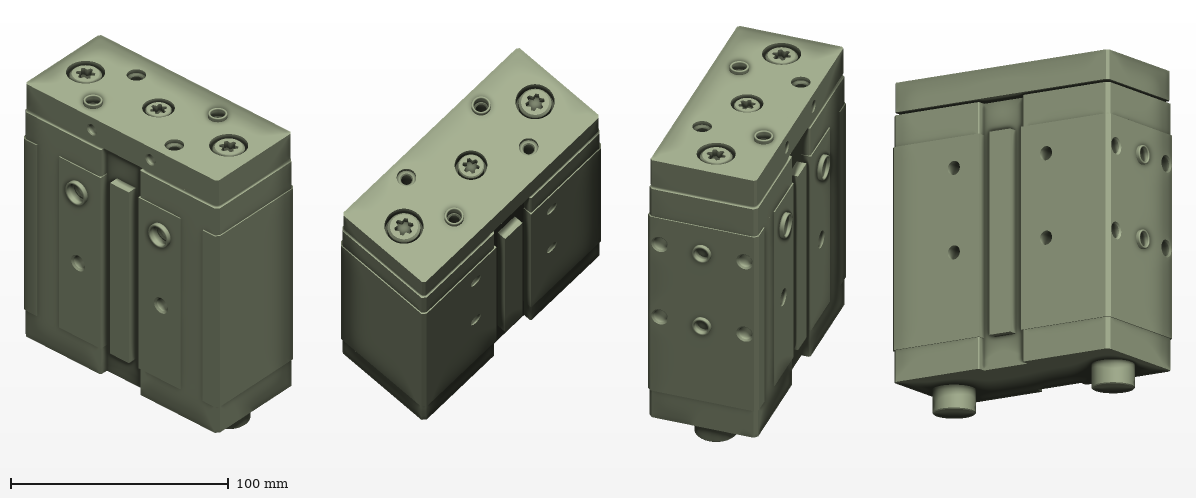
import cadquery as cq
import math


ROD_OVERHANG = 11.3
CAP_HEIGHT = 15.0
BODY_HEIGHT = 96.0
YOKE_GAP = 1.5
YOKE_HEIGHT = 14.0
BODY_BOTTOM = ROD_OVERHANG + CAP_HEIGHT
BODY_TOP = BODY_BOTTOM + BODY_HEIGHT
CAP_TOP = BODY_TOP + CAP_HEIGHT
YOKE_BOTTOM = CAP_TOP + YOKE_GAP
YOKE_TOP = YOKE_BOTTOM + YOKE_HEIGHT

BODY_WIDTH = 120.0
BODY_DEPTH = 54.0
STEP = 0.54
CAP_WIDTH = BODY_WIDTH - 2 * STEP
CAP_DEPTH = BODY_DEPTH - 2 * STEP
YOKE_WIDTH = CAP_WIDTH - 2 * STEP
YOKE_DEPTH = CAP_DEPTH - 2 * STEP
BODY_CHAMFER = 1.7
YOKE_CHAMFER = 1.1

SLOT_WIDTH = 23.0
SLOT_DEPTH = 4.8
RAIL_WIDTH = 11.5
CAP_NOTCH_WIDTH = 23.8
CAP_NOTCH_CHAMFER = 0.6
RELIEF_INNER = 37.0
RELIEF_OUTER = 50.8

GUIDE_DIAMETER = 20.0
GUIDE_X = 43.8
GUIDE_Y = -1.0
GUIDE_CHAMFER = 0.5
PISTON_ROD_DIAMETER = 12.0
SCREW_RECESS = 0.6
SCREW_POCKET_DEPTH = 6.2
SOCKET_DEPTH = 3.7
SOCKET_LOBES = 6
LOBE_HALF_ANGLE = 10
GUIDE_SCREW_POCKET = 18.0
GUIDE_SCREW_HEAD = 15.0
GUIDE_SCREW_CHAMFER = 1.1
GUIDE_SOCKET_TIP = 4.5
GUIDE_SOCKET_ROOT = 3.0
PISTON_SCREW_POCKET = 15.0
PISTON_SCREW_HEAD = 12.0
PISTON_SCREW_CHAMFER = 0.54
PISTON_SOCKET_TIP = 4.0
PISTON_SOCKET_ROOT = 2.6

SLEEVE_WALL = 1.1
SMALL_SLEEVE_DIAMETER = 9.0
SMALL_SLEEVE_LENGTH = 4.0
YOKE_SLEEVE_OUTSIDE = 2.0
SIDE_SLEEVE_OUTSIDE = 1.9
LARGE_SLEEVE_DIAMETER = 12.0
LARGE_SLEEVE_LENGTH = 5.0
FRONT_SLEEVE_OUTSIDE = 2.3
YOKE_SEAT_DEPTH = SMALL_SLEEVE_LENGTH - YOKE_SLEEVE_OUTSIDE
SIDE_SEAT_DEPTH = SMALL_SLEEVE_LENGTH - SIDE_SLEEVE_OUTSIDE
FRONT_SEAT_DEPTH = LARGE_SLEEVE_LENGTH - FRONT_SLEEVE_OUTSIDE

MOUNT_HOLE_X = 25.4
MOUNT_HOLE_DIAMETER = 6.7
MOUNT_HOLE_MOUTH = 8.5
UPPER_HOLE_Z = 107.9
HOLE_PITCH_Z = 40.0
HOLE_HEIGHTS = (UPPER_HOLE_Z, UPPER_HOLE_Z - HOLE_PITCH_Z)
SIDE_HOLE_Y = 20.7
SIDE_HOLE_DIAMETER = 6.7
SIDE_HOLE_MOUTH = 8.2
SIDE_HOLE_DEPTH = 15.5
CHANNEL_DIAMETER = 4.3
YOKE_HOLE_X = 25.0
YOKE_HOLE_BACK_Y = 12.8
YOKE_HOLE_PITCH_Y = 30.0
YOKE_HOLE_FRONT_Y = YOKE_HOLE_BACK_Y - YOKE_HOLE_PITCH_Y
YOKE_HOLE_DIAMETER = 5.0
YOKE_HOLE_MOUTH = 6.0
YOKE_FRONT_HOLE_X = 18.0
YOKE_FRONT_HOLE_DEPTH = 9.3
DRILL_HALF_ANGLE = math.radians(59)

LEFT_FACE = -BODY_WIDTH / 2
FRONT_FACE = -BODY_DEPTH / 2
X_RIGHT = (1, 0, 0)
X_LEFT = (-1, 0, 0)
Y_BACK = (0, 1, 0)
Y_FRONT = (0, -1, 0)
Z_UP = (0, 0, 1)
Z_DOWN = (0, 0, -1)


def block(width, depth, bottom, height, chamfer):
    """Upright block centred on the Z axis with chamfered vertical edges."""
    box = cq.Workplane().box(width, depth, height, centered=(True, True, False))
    return box.edges("|Z").chamfer(chamfer).translate((0, 0, bottom))


def cylinder(start, direction, diameter, length):
    solid = cq.Solid.makeCylinder(diameter / 2, length, cq.Vector(*start), cq.Vector(*direction))
    return cq.Workplane(solid)


def cone(start, direction, start_diameter, end_diameter, length):
    solid = cq.Solid.makeCone(
        start_diameter / 2, end_diameter / 2, length, cq.Vector(*start), cq.Vector(*direction)
    )
    return cq.Workplane(solid)


def drilled_hole(start, direction, diameter, mouth, depth):
    """Blind hole with a 45 degree mouth chamfer and a conical drill point."""
    point_length = diameter / 2 / math.tan(DRILL_HALF_ANGLE)
    floor = cq.Vector(*start) + cq.Vector(*direction) * depth
    hole = through_hole(start, direction, diameter, mouth, depth)
    return hole.union(cone(floor.toTuple(), direction, diameter, 0, point_length))


def through_hole(start, direction, diameter, mouth, length):
    """Round hole with a 45 degree mouth chamfer."""
    chamfer = cone(start, direction, mouth, diameter, (mouth - diameter) / 2)
    return cylinder(start, direction, diameter, length).union(chamfer)


def make_body():
    body = block(BODY_WIDTH, BODY_DEPTH, BODY_BOTTOM, BODY_HEIGHT, BODY_CHAMFER)

    for side in (-1, 1):
        floor_y = side * (BODY_DEPTH / 2 - SLOT_DEPTH / 2)
        slot = cq.Workplane().box(SLOT_WIDTH, SLOT_DEPTH, BODY_HEIGHT)
        rail = cq.Workplane().box(RAIL_WIDTH, SLOT_DEPTH, BODY_HEIGHT)
        body = body.cut(slot.cut(rail).translate((0, floor_y, BODY_BOTTOM + BODY_HEIGHT / 2)))

    for side in (-1, 1):
        relief = cq.Workplane().box(RELIEF_OUTER - RELIEF_INNER, 2 * STEP, BODY_HEIGHT)
        relief_x = side * (RELIEF_OUTER + RELIEF_INNER) / 2
        body = body.cut(relief.translate((relief_x, FRONT_FACE, BODY_BOTTOM + BODY_HEIGHT / 2)))

    for x in (-MOUNT_HOLE_X, MOUNT_HOLE_X):
        seat = (x, FRONT_FACE, UPPER_HOLE_Z)
        body = body.cut(cylinder(seat, Y_BACK, LARGE_SLEEVE_DIAMETER, FRONT_SEAT_DEPTH))
        for z, mouth_y in zip(HOLE_HEIGHTS, (FRONT_FACE + FRONT_SEAT_DEPTH, FRONT_FACE)):
            start = (x, mouth_y, z)
            body = body.cut(through_hole(start, Y_BACK, MOUNT_HOLE_DIAMETER, MOUNT_HOLE_MOUTH, BODY_DEPTH))

    for z in HOLE_HEIGHTS:
        body = body.cut(cylinder((LEFT_FACE, 0, z), X_RIGHT, SMALL_SLEEVE_DIAMETER, SIDE_SEAT_DEPTH))
        for y in (-SIDE_HOLE_Y, SIDE_HOLE_Y):
            start = (LEFT_FACE, y, z)
            body = body.cut(drilled_hole(start, X_RIGHT, SIDE_HOLE_DIAMETER, SIDE_HOLE_MOUTH, SIDE_HOLE_DEPTH))

    channel_start = (LEFT_FACE + SIDE_HOLE_DEPTH, SIDE_HOLE_Y, BODY_BOTTOM)
    body = body.cut(cylinder(channel_start, Z_UP, CHANNEL_DIAMETER, BODY_HEIGHT))
    return body.cut(guide_rods())


def make_cap(bottom):
    cap = block(CAP_WIDTH, CAP_DEPTH, bottom, CAP_HEIGHT, BODY_CHAMFER)
    face = CAP_DEPTH / 2
    floor = BODY_DEPTH / 2 - SLOT_DEPTH
    half = CAP_NOTCH_WIDTH / 2
    for side in (-1, 1):
        notch = (
            cq.Workplane()
            .moveTo(-half, side * floor)
            .lineTo(-half, side * (face - CAP_NOTCH_CHAMFER))
            .lineTo(-half - CAP_NOTCH_CHAMFER, side * face)
            .lineTo(half + CAP_NOTCH_CHAMFER, side * face)
            .lineTo(half, side * (face - CAP_NOTCH_CHAMFER))
            .lineTo(half, side * floor)
            .close()
            .extrude(CAP_HEIGHT)
        )
        cap = cap.cut(notch.translate((0, 0, bottom)))
    return cap.cut(guide_rods()).cut(piston_rod())


def guide_rods():
    """Guide rods up to the underside of the yoke, chamfered at the lower end."""
    rods = cq.Workplane().pushPoints([(-GUIDE_X, GUIDE_Y), (GUIDE_X, GUIDE_Y)])
    return rods.circle(GUIDE_DIAMETER / 2).extrude(YOKE_BOTTOM).faces("<Z").edges().chamfer(GUIDE_CHAMFER)


def piston_rod():
    """Piston rod from the yoke down to the top of the body."""
    return cylinder((0, 0, BODY_TOP), Z_UP, PISTON_ROD_DIAMETER, YOKE_BOTTOM - BODY_TOP)


def star_socket(tip_radius, root_radius, first_angle):
    """Star socket, cut downwards from the XY plane."""
    pitch = 360 / SOCKET_LOBES
    points = []
    for lobe in range(SOCKET_LOBES):
        angle = first_angle + pitch * lobe
        for offset, radius in (
            (-LOBE_HALF_ANGLE, tip_radius),
            (LOBE_HALF_ANGLE, tip_radius),
            (pitch / 2, root_radius),
        ):
            bearing = math.radians(angle + offset)
            points.append((radius * math.cos(bearing), radius * math.sin(bearing)))
    return cq.Workplane().polyline(points).close().extrude(-SOCKET_DEPTH)


def sink_screw(yoke, x, y, pocket_diameter, head, socket):
    """Sink a screw head, with its star socket, in a round pocket of the yoke."""
    pocket = cylinder((x, y, YOKE_TOP), Z_DOWN, pocket_diameter, SCREW_POCKET_DEPTH)
    head_top = (x, y, YOKE_TOP - SCREW_RECESS)
    return yoke.cut(pocket).union(head.translate(head_top)).cut(socket.translate(head_top))


def screw_head(diameter, chamfer):
    """Round screw head with its top face on the XY plane."""
    height = SCREW_POCKET_DEPTH - SCREW_RECESS
    return cylinder((0, 0, 0), Z_DOWN, diameter, height).faces(">Z").edges().chamfer(chamfer)


def make_yoke():
    """Moving yoke with its guide rods, piston rod and screws."""
    yoke = block(YOKE_WIDTH, YOKE_DEPTH, YOKE_BOTTOM, YOKE_HEIGHT, YOKE_CHAMFER)
    yoke = yoke.union(guide_rods()).union(piston_rod())

    guide_head = screw_head(GUIDE_SCREW_HEAD, GUIDE_SCREW_CHAMFER)
    guide_socket = star_socket(GUIDE_SOCKET_TIP, GUIDE_SOCKET_ROOT, 90)
    for x in (-GUIDE_X, GUIDE_X):
        yoke = sink_screw(yoke, x, GUIDE_Y, GUIDE_SCREW_POCKET, guide_head, guide_socket)
    piston_head = screw_head(PISTON_SCREW_HEAD, PISTON_SCREW_CHAMFER)
    piston_socket = star_socket(PISTON_SOCKET_TIP, PISTON_SOCKET_ROOT, 0)
    yoke = sink_screw(yoke, 0, 0, PISTON_SCREW_POCKET, piston_head, piston_socket)

    for x in (-YOKE_HOLE_X, YOKE_HOLE_X):
        for y in (YOKE_HOLE_FRONT_Y, YOKE_HOLE_BACK_Y):
            yoke = yoke.cut(cylinder((x, y, YOKE_TOP), Z_DOWN, SMALL_SLEEVE_DIAMETER, YOKE_SEAT_DEPTH))
            start = (x, y, YOKE_TOP - YOKE_SEAT_DEPTH)
            yoke = yoke.cut(through_hole(start, Z_DOWN, YOKE_HOLE_DIAMETER, YOKE_HOLE_MOUTH, YOKE_HEIGHT))

    for x in (-YOKE_FRONT_HOLE_X, YOKE_FRONT_HOLE_X):
        start = (x, -YOKE_DEPTH / 2, YOKE_BOTTOM + YOKE_HEIGHT / 2)
        yoke = yoke.cut(
            drilled_hole(start, Y_BACK, YOKE_HOLE_DIAMETER, YOKE_HOLE_MOUTH, YOKE_FRONT_HOLE_DEPTH)
        )
    return yoke


def make_sleeve(face_point, outward, diameter, length, outside):
    """Centring sleeve seated in a face, its free end fully rounded."""
    outer = diameter / 2
    inner = outer - SLEEVE_WALL
    shoulder = length - SLEEVE_WALL / 2
    sleeve = (
        cq.Workplane("XZ")
        .moveTo(inner, 0)
        .lineTo(outer, 0)
        .lineTo(outer, shoulder)
        .threePointArc((outer - SLEEVE_WALL / 2, length), (inner, shoulder))
        .close()
        .revolve(360, (0, 0, 0), (0, 1, 0))
    )
    inner_end = cq.Vector(*face_point) - cq.Vector(*outward) * (length - outside)
    seat_plane = cq.Plane(origin=inner_end.toTuple(), normal=outward)
    return cq.Workplane(sleeve.val().moved(seat_plane.location))


def make_small_sleeve(face_point, outward, outside):
    return make_sleeve(face_point, outward, SMALL_SLEEVE_DIAMETER, SMALL_SLEEVE_LENGTH, outside)


def make_large_sleeve(face_point, outward, outside):
    return make_sleeve(face_point, outward, LARGE_SLEEVE_DIAMETER, LARGE_SLEEVE_LENGTH, outside)


body = make_body()
caps = [make_cap(bottom) for bottom in (ROD_OVERHANG, BODY_TOP)]
yoke = make_yoke()

sleeves = [
    make_small_sleeve((-YOKE_HOLE_X, YOKE_HOLE_FRONT_Y, YOKE_TOP), Z_UP, YOKE_SLEEVE_OUTSIDE),
    make_small_sleeve((YOKE_HOLE_X, YOKE_HOLE_BACK_Y, YOKE_TOP), Z_UP, YOKE_SLEEVE_OUTSIDE),
]
for z in HOLE_HEIGHTS:
    sleeves.append(make_small_sleeve((LEFT_FACE, 0, z), X_LEFT, SIDE_SLEEVE_OUTSIDE))
for x in (-MOUNT_HOLE_X, MOUNT_HOLE_X):
    sleeves.append(make_large_sleeve((x, FRONT_FACE, UPPER_HOLE_Z), Y_FRONT, FRONT_SLEEVE_OUTSIDE))

result = cq.Compound.makeCompound(
    [body.val(), *[cap.val() for cap in caps], yoke.val(), *[sleeve.val() for sleeve in sleeves]]
)